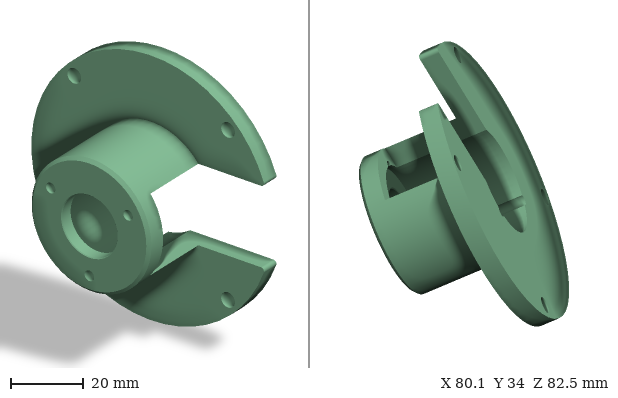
import cadquery as cq
import math

flange_diameter = 82.55
flange_thickness = 5.715
total_length = 34.04
boss_diameter = 41.275
boss_chamfer = 1.016

bore_diameter = 19.05
bore_chamfer = 0.254
end_wall_thickness = 4.318

cavity_diameter = 31.242

slot_width = 25.4
slot_front_margin = 6.35
slot_mouth_fillet = 1.016

flange_hole_diameter = 4.7625
flange_hole_circle_diameter = 74.93
flange_hole_count = 4
flange_hole_start_angle = 45.0
boss_hole_diameter = 3.264
boss_hole_circle_diameter = 30.8
boss_hole_count = 3
boss_hole_start_angle = -90.0

cavity_depth = total_length - end_wall_thickness
slot_depth = total_length - slot_front_margin


def disc(diameter, length, x=0.0, z=0.0):
    """Cylinder along Y, from the flange back plane towards -Y."""
    return cq.Workplane("XZ").center(x, z).circle(diameter / 2).extrude(length)


def hole_circle(diameter, circle_diameter, count, start_angle):
    """Through holes equally spaced on a circle about the Y axis."""
    radius = circle_diameter / 2
    holes = cq.Workplane("XZ")
    for index in range(count):
        angle = math.radians(start_angle + index * 360.0 / count)
        x = radius * math.cos(angle)
        z = radius * math.sin(angle)
        holes = holes.add(disc(diameter, total_length, x, z))
    return holes.combine()


def make_body():
    """Flange disc with the chamfered boss on its front."""
    boss = disc(boss_diameter, total_length).faces("<Y").edges().chamfer(boss_chamfer)
    return disc(flange_diameter, flange_thickness).union(boss)


def make_slot():
    """Straight slot running from the part axis past the rim on the +X side."""
    length = flange_diameter / 2
    return cq.Workplane("XZ").center(length / 2, 0).rect(length, slot_width).extrude(slot_depth)


def round_slot_mouth(body):
    """Round the two flange corners where the slot meets the rim."""
    half_width = slot_width / 2
    corner_x = math.sqrt((flange_diameter / 2) ** 2 - half_width**2)
    corner_y = -flange_thickness / 2
    for corner_z in (-half_width, half_width):
        corner = cq.selectors.NearestToPointSelector((corner_x, corner_y, corner_z))
        body = body.edges("|Y").edges(corner).fillet(slot_mouth_fillet)
    return body


def cut_bore(body):
    """Bore the end wall and break the front and rear edges of the bore."""
    body = body.cut(disc(bore_diameter, total_length))
    bore_rims = cq.selectors.RadiusNthSelector(0)
    return body.faces("|Y").edges("%CIRCLE").edges(bore_rims).chamfer(bore_chamfer)


flange_holes = hole_circle(
    flange_hole_diameter, flange_hole_circle_diameter, flange_hole_count, flange_hole_start_angle
)
boss_holes = hole_circle(
    boss_hole_diameter, boss_hole_circle_diameter, boss_hole_count, boss_hole_start_angle
)

result = make_body()
result = result.cut(disc(cavity_diameter, cavity_depth))
result = result.cut(make_slot())
result = cut_bore(result)
result = round_slot_mouth(result)
result = result.cut(flange_holes)
result = result.cut(boss_holes)